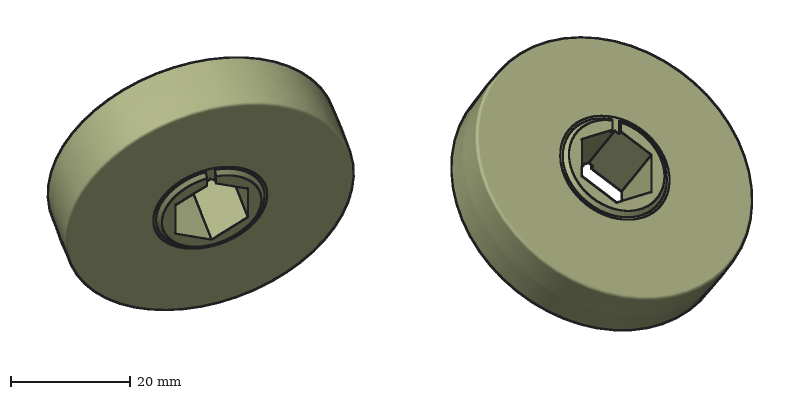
import cadquery as cq
import math

wheel_diameter = 50.8
wheel_width = 11.1125
wheel_taper_angle = 1.0
rim_fillet = 0.5

hub_length = 12.7
hub_diameter = 20.0
boss_base_diameter = 19.05
hex_across_flats = 12.7
notch_width = 1.6

wheel_radius = wheel_diameter / 2
wheel_half_width = wheel_width / 2
wheel_face_radius = wheel_radius - wheel_half_width * math.tan(math.radians(wheel_taper_angle))
hub_radius = hub_diameter / 2
boss_height = (hub_length - wheel_width) / 2
boss_base_radius = boss_base_diameter / 2
boss_tip_radius = boss_base_radius - boss_height
hex_across_corners = hex_across_flats / math.cos(math.pi / 6)


def revolve_about_x(points):
    """Revolve an (x, radius) outline once around the X axis."""
    return cq.Workplane("XZ").polyline(points).close().revolve(360, (0, 0, 0), (1, 0, 0))


def make_wheel():
    """Disc with a seat for the hub, a raised mid-plane edge and rounded rims."""
    disc = revolve_about_x([
        (-wheel_half_width, hub_radius),
        (-wheel_half_width, wheel_face_radius),
        (0, wheel_radius),
        (wheel_half_width, wheel_face_radius),
        (wheel_half_width, hub_radius),
    ])
    rim_selector = cq.selectors.RadiusNthSelector(-2)
    return disc.edges(rim_selector).fillet(rim_fillet)


def make_hub():
    """Bushing flush with the wheel faces, with end bosses, a hex bore and a notch in each boss."""
    half_length = hub_length / 2
    body = revolve_about_x([
        (-half_length, 0),
        (-half_length, boss_tip_radius),
        (-wheel_half_width, boss_base_radius),
        (-wheel_half_width, hub_radius),
        (wheel_half_width, hub_radius),
        (wheel_half_width, boss_base_radius),
        (half_length, boss_tip_radius),
        (half_length, 0),
    ])

    hex_bore = (
        cq.Workplane("YZ")
        .transformed(rotate=(0, 0, 90))
        .polygon(6, hex_across_corners)
        .extrude(half_length, both=True)
    )
    body = body.cut(hex_bore)

    notch_centre = wheel_half_width + boss_height / 2
    for side in (-1, 1):
        notch = (
            cq.Workplane("XY")
            .center(side * notch_centre, 0)
            .rect(boss_height, notch_width)
            .extrude(hub_radius)
        )
        body = body.cut(notch)
    return body


wheel = make_wheel()
hub = make_hub()

result = cq.Compound.makeCompound([wheel.val(), hub.val()])